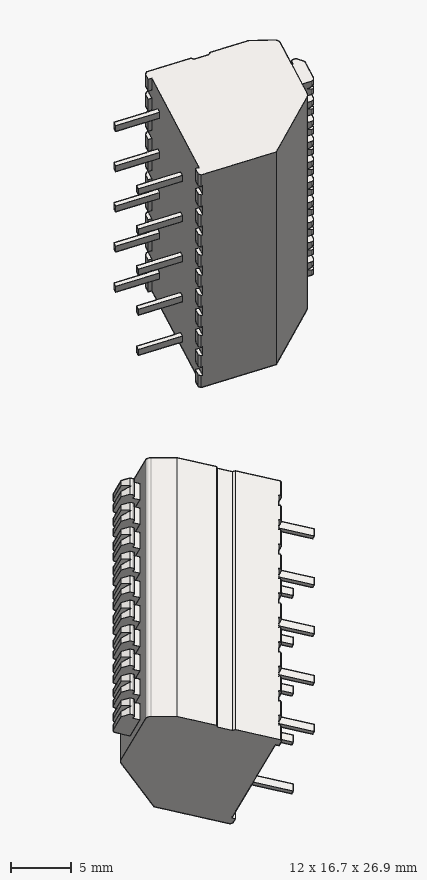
import cadquery as cq
import math


length = 26.9
width = 12.0
height = 11.55
round_radius = 0.5
lead_in_start = 9.2
lead_in_angle = 20.0
slope_drop = 4.7
groove_bottom = 4.12
groove_width = 1.67
groove_depth = 0.2

pole_count = 10
foot_length = 1.5
pitch = (length - foot_length) / pole_count

foot_count = pole_count + 1
foot_width = 0.8
foot_height = 0.32
foot_chamfer = 0.2

pin_width = 0.4
pin_length = 0.75
pin_reach = 3.58
pin_spacing = 5.0
pin_left = 2.35
pin_first = 2.8

lever_left = 2.07
lever_neck = 2.5
lever_right = 4.82
lever_top = 13.13
lever_length = 1.7
lever_first = 2.35
lip_bottom = 12.13
lever_chamfer = 0.56
lever_round = 0.3
lip_round = 0.15
notch_width = 0.6
notch_depth = 0.65


def make_housing():
    lead_in = (height - lead_in_start) * math.tan(math.radians(lead_in_angle))
    groove_top = groove_bottom + groove_width
    housing = (
        cq.Workplane("XY")
        .moveTo(0, foot_height)
        .lineTo(0, groove_bottom)
        .lineTo(groove_depth, groove_bottom + groove_depth)
        .lineTo(groove_depth, groove_top - groove_depth)
        .lineTo(0, groove_top)
        .lineTo(0, lead_in_start)
        .lineTo(lead_in, height)
        .lineTo(width - slope_drop, height)
        .lineTo(width, height - slope_drop)
        .lineTo(width, foot_height)
        .close()
        .extrude(length)
    )
    top_corners = housing.faces(">Y").edges("|Z")
    return top_corners.fillet(round_radius)


def make_foot(left, top, outer_edge):
    bottom = top - foot_length
    foot = cq.Workplane("XY").box(foot_width, foot_height, foot_length, centered=False)
    foot = foot.edges(outer_edge).chamfer(foot_chamfer)
    return foot.translate((left, 0, bottom))


def make_pin(center_x, center_z):
    pin = cq.Workplane("XY").box(pin_width, pin_reach + foot_height, pin_length)
    return pin.translate((center_x, (foot_height - pin_reach) / 2, center_z))


def make_lever(center_z):
    outline = [
        (lever_neck, height),
        (lever_neck, lip_bottom),
        (lever_left, lip_bottom),
        (lever_left, lever_top - lever_chamfer),
        (lever_left + lever_chamfer, lever_top),
        (lever_right, lever_top),
        (lever_right, height),
    ]
    lever = cq.Workplane("XY").polyline(outline).close().extrude(lever_length / 2, both=True)
    lever = lever.edges("|Z and >X and >Y").fillet(lever_round)
    lip_corner = cq.selectors.NearestToPointSelector((lever_left, lip_bottom, 0))
    lever = lever.edges("|Z").edges(lip_corner).fillet(lip_round)
    notch = (
        cq.Workplane("YZ")
        .polyline([
            (lever_top, -notch_width / 2),
            (lever_top, notch_width / 2),
            (lever_top - notch_depth, 0),
        ])
        .close()
        .extrude(width)
    )
    return lever.cut(notch).translate((0, 0, center_z))


result = make_housing()

for i in range(foot_count):
    foot_top = length - i * pitch
    result = result.union(make_foot(0, foot_top, "|Z and <X and <Y"))
    result = result.union(make_foot(width - foot_width, foot_top, "|Z and >X and <Y"))

for i in range(pole_count):
    pin_x = pin_left + (i % 2) * pin_spacing
    result = result.union(make_pin(pin_x, length - pin_first - i * pitch))
    result = result.union(make_lever(length - lever_first - i * pitch))